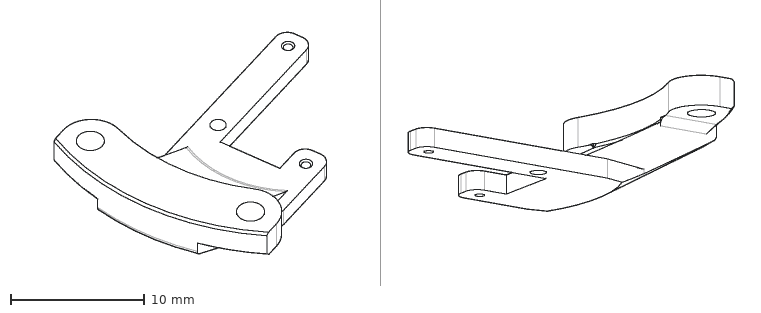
import cadquery as cq
import math

length = 27.7
height = 8.1
axis_y = 20.78
slope = math.radians(30)

plate_thickness = 1.5
plate_half_width = 5.38
arm_width = 2.72
notch_y = 14.75
short_arm_y = 17.7
arm_corner_radius = 1.0
taper_start_y = 11.03
taper_end_y = 7.1
pin_inset = 1.33
pin_radius = 0.35
pin_chamfer = 0.15
pin_low_y = 16.2
pin_high_y = 26.32
plain_hole_x = -3.8
plain_hole_radius = 0.6

neck_half_width = 4.45
neck_top_start_radius = 9.05
neck_under_start_radius = 12.41
neck_plate_blend = 0.35
neck_outer_round = 0.55
neck_head_blend = 0.2
neck_side_fillet = 0.67
side_fillet_end_y = 5.6

head_half_width = 9.5
head_bottom = 5.75
head_outer_radius = axis_y
head_inner_radius = 16.05
lobe_radius = 2.5
head_hole_x = 7.15
head_hole_y = 3.69
head_hole_radius = 1.05
head_top_chamfer = 0.2
head_bottom_chamfer = 0.25


def under_height(radius):
    """Height of the conical underside at a distance from the axis."""
    return (radius - neck_under_start_radius) * math.tan(slope)


def top_height(radius):
    """Height of the conical upper face at a distance from the axis."""
    return plate_thickness + (radius - neck_top_start_radius) * math.tan(slope)


def revolve_about_axis(profile):
    """Turn a (radius, height) profile about the common vertical axis."""
    return profile.close().revolve(360, (0, 0), (0, 1)).translate((0, axis_y, 0))


def radial_profile():
    return cq.Workplane("XZ")


def centred_box(half_width, y_max, z_max):
    return cq.Workplane("XY").box(2 * half_width, y_max, z_max, (True, False, False))


def make_plate():
    inner_x = plate_half_width - arm_width
    outline = [
        (-neck_half_width, 0),
        (-neck_half_width, taper_end_y),
        (-plate_half_width, taper_start_y),
        (-plate_half_width, length),
        (-inner_x, length),
        (-inner_x, notch_y),
        (inner_x, notch_y),
        (inner_x, short_arm_y),
        (plate_half_width, short_arm_y),
        (plate_half_width, taper_start_y),
        (neck_half_width, taper_end_y),
        (neck_half_width, 0),
    ]
    plate = cq.Workplane("XY").polyline(outline).close().extrude(plate_thickness)
    for arm_end in (length, short_arm_y):
        tip = cq.selectors.BoxSelector(
            (-length, arm_end - 0.03, 0), (length, arm_end + 0.03, plate_thickness)
        )
        plate = plate.edges("|Z").edges(tip).fillet(arm_corner_radius)

    inside_cone = revolve_about_axis(
        radial_profile()
        .moveTo(0, 0)
        .lineTo(neck_under_start_radius, 0)
        .lineTo(neck_under_start_radius + plate_thickness / math.tan(slope), plate_thickness)
        .lineTo(length, plate_thickness)
        .lineTo(length, height)
        .lineTo(0, height)
    )
    beyond_axis = centred_box(plate_half_width, length, plate_thickness).translate((0, axis_y, 0))
    return plate.intersect(inside_cone.union(beyond_axis))


def make_neck():
    blend_run = neck_plate_blend * math.tan(slope / 2)
    blend_end_radius = neck_top_start_radius + blend_run * math.cos(slope)
    round_run = neck_outer_round * math.tan((math.pi / 2 - slope) / 2)
    round_radius = head_outer_radius - round_run * math.cos(slope)
    head_blend_radius = head_inner_radius - neck_head_blend
    blend_start = neck_top_start_radius - blend_run
    blend_mid = blend_start + neck_plate_blend * math.sin(slope / 2)
    blend_mid_height = plate_thickness + neck_plate_blend * (1 - math.cos(slope / 2))
    round_centre = head_outer_radius - neck_outer_round
    round_top = under_height(head_outer_radius) + round_run
    mid_angle = (math.pi / 2 - slope) / 2
    round_mid = (
        round_centre + neck_outer_round * math.cos(mid_angle),
        round_top - neck_outer_round * math.sin(mid_angle),
    )
    ring = revolve_about_axis(
        radial_profile()
        .moveTo(blend_start, 0)
        .lineTo(neck_under_start_radius, 0)
        .lineTo(round_radius, under_height(round_radius))
        .threePointArc(round_mid, (head_outer_radius, round_top))
        .lineTo(head_outer_radius, height - head_top_chamfer)
        .lineTo(head_inner_radius, height - head_top_chamfer)
        .lineTo(head_inner_radius, head_bottom)
        .lineTo(head_blend_radius, top_height(head_blend_radius))
        .lineTo(blend_end_radius, top_height(blend_end_radius))
        .threePointArc((blend_mid, blend_mid_height), (blend_start, plate_thickness))
    )
    return ring.intersect(centred_box(neck_half_width, axis_y, height))


def make_side_fillets():
    """Concave fillet bars between the neck sides and the underside of the head."""
    base = head_bottom - neck_side_fillet
    outer_x = neck_half_width + neck_side_fillet
    arc_offset = neck_side_fillet * math.sqrt(0.5)
    right = (
        cq.Workplane("XZ")
        .moveTo(neck_half_width, base)
        .threePointArc((outer_x - arc_offset, base + arc_offset), (outer_x, head_bottom))
        .lineTo(neck_half_width, head_bottom)
        .close()
        .extrude(-side_fillet_end_y)
    )
    return right.union(right.mirror("YZ"))


def make_head():
    """Curved head with the fillets that join it to the neck sides."""
    lobe_x = head_half_width - lobe_radius
    lobe_distance = head_inner_radius + lobe_radius
    lobe_y = axis_y - math.sqrt(lobe_distance**2 - lobe_x**2)
    tangent_x = lobe_x * head_inner_radius / lobe_distance
    tangent_y = axis_y - (axis_y - lobe_y) * head_inner_radius / lobe_distance
    lobe_mid_x = lobe_x + lobe_radius * math.sqrt(0.5)
    lobe_mid_y = lobe_y + lobe_radius * math.sqrt(0.5)
    head = (
        cq.Workplane("XY", origin=(0, 0, head_bottom))
        .moveTo(-head_half_width, 0)
        .lineTo(head_half_width, 0)
        .lineTo(head_half_width, lobe_y)
        .threePointArc((lobe_mid_x, lobe_mid_y), (tangent_x, tangent_y))
        .threePointArc((0, axis_y - head_inner_radius), (-tangent_x, tangent_y))
        .threePointArc((-lobe_mid_x, lobe_mid_y), (-head_half_width, lobe_y))
        .close()
        .extrude(height - head_bottom)
    )
    base = head_bottom - neck_side_fillet
    base_inner_radius = neck_top_start_radius + (base - plate_thickness) / math.tan(slope)
    base_outer_radius = head_outer_radius - head_bottom_chamfer - neck_side_fillet
    fillet_inner_radius = head_inner_radius - neck_head_blend
    limits = revolve_about_axis(
        radial_profile()
        .moveTo(base_inner_radius, base)
        .lineTo(base_outer_radius, base)
        .lineTo(head_outer_radius, head_bottom + head_bottom_chamfer)
        .lineTo(head_outer_radius, height - head_top_chamfer)
        .lineTo(head_outer_radius - head_top_chamfer, height)
        .lineTo(fillet_inner_radius, height)
        .lineTo(fillet_inner_radius, head_bottom)
    )
    return head.union(make_side_fillets()).intersect(limits)


def drill(body, x, y, radius):
    return body.cut(cq.Workplane("XY").center(x, y).circle(radius).extrude(height))


def drill_pin_hole(body, x, y):
    """Small through hole with a chamfered mouth on the plate's top face."""
    mouth = cq.Solid.makeCone(
        pin_radius,
        pin_radius + pin_chamfer,
        pin_chamfer,
        cq.Vector(x, y, plate_thickness - pin_chamfer),
    )
    return drill(body, x, y, pin_radius).cut(cq.Workplane(mouth))


result = make_plate().union(make_neck()).union(make_head())
pin_x = plate_half_width - pin_inset
for x, y in ((-pin_x, pin_high_y), (pin_x, pin_low_y)):
    result = drill_pin_hole(result, x, y)
result = drill(result, plain_hole_x, pin_low_y, plain_hole_radius)
for side in (-1, 1):
    result = drill(result, side * head_hole_x, head_hole_y, head_hole_radius)